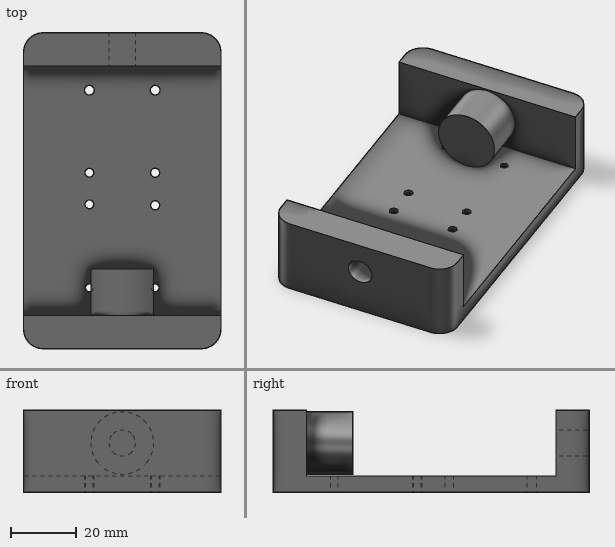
import cadquery as cq

width = 60.0
length = 96.0
height = 25.0
floor_thickness = 5.0
wall_thickness = 10.2
corner_radius = 6.0

axis_height = (floor_thickness + height) / 2
boss_diameter = 19.0
boss_length = 14.0
wall_bore_diameter = 8.0

hole_column_x = 10.0
floor_holes = [
    (-1, 30.5, 2.9),
    (1, 30.5, 2.9),
    (-1, 5.5, 2.6),
    (1, 5.5, 2.7),
    (-1, -4.1, 2.6),
    (1, -4.4, 2.7),
    (-1, -29.5, 2.3),
    (1, -29.5, 2.3),
]

inner_wall_y = length / 2 - wall_thickness


def make_bracket():
    """Rounded block cleared between its two end walls."""
    block = cq.Workplane("XY").box(width, length, height, centered=(True, True, False))
    block = block.edges("|Z").fillet(corner_radius)
    clearance = (
        cq.Workplane("XY")
        .workplane(offset=floor_thickness)
        .rect(width, 2 * inner_wall_y)
        .extrude(height - floor_thickness)
    )
    return block.cut(clearance)


def cylinder_toward_plus_y(diameter, start_y, depth):
    """Cylinder on the shared axis, running toward +Y from start_y."""
    start = cq.Vector(0, start_y, axis_height)
    return cq.Workplane(cq.Solid.makeCylinder(diameter / 2, depth, start, cq.Vector(0, 1, 0)))


def floor_hole(side, y, diameter):
    """Cutter for one vertical hole through the floor."""
    return cq.Workplane("XY").center(side * hole_column_x, y).circle(diameter / 2).extrude(floor_thickness)


boss_root_y = -inner_wall_y - wall_thickness / 2
boss = cylinder_toward_plus_y(boss_diameter, boss_root_y, wall_thickness / 2 + boss_length)
wall_bore = cylinder_toward_plus_y(wall_bore_diameter, inner_wall_y, wall_thickness)

result = make_bracket().union(boss).cut(wall_bore)
for side, y, diameter in floor_holes:
    result = result.cut(floor_hole(side, y, diameter))